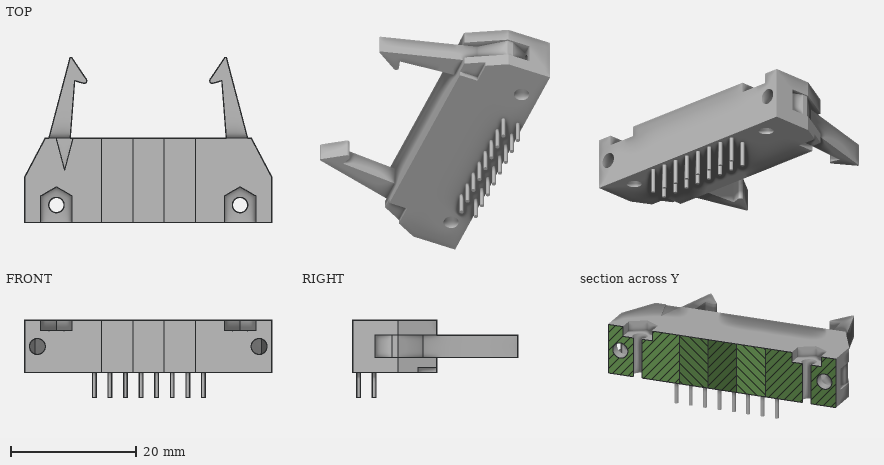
import cadquery as cq
import math

overall_length = 39.5
housing_depth = 13.45
housing_height = 8.37
overall_depth = 26.4

module_count = 3
module_width = 4.98
left_end_width = 12.32
right_end_width = overall_length - left_end_width - module_count * module_width

pin_diameter = 0.65
pin_length = 4.0
columns_per_module = 2
pin_pitch = module_width / columns_per_module
first_pin_offset = 1.3
front_row_y = 0.95
pin_rows = (front_row_y, front_row_y + pin_pitch)

corner_width = 3.28
corner_depth = 6.25

screw_diameter = 2.4
screw_x = 5.1
screw_y = 2.8
nut_width = 5.0
nut_pocket_depth = 1.65

access_diameter = 2.53
access_x = 2.05

latch_thickness = 3.6
slot_front_y = 3.6
latch_root_inner = (7.3, housing_depth)
latch_tip_outer = (7.25, overall_depth)
latch_tip_inner = (7.5, overall_depth)
barb_point = (10.55, 21.9)
barb_root = (8.0, 22.65)
barb_radius = 0.45
latch_bend = (3.28, 11.2)
latch_heel_rear = (0.25, 7.23)
latch_heel_front = (0.25, 6.32)
latch_toe = (1.7, slot_front_y)
latch_slope = (latch_tip_outer[0] - latch_bend[0]) / (latch_tip_outer[1] - latch_bend[1])
latch_root = (latch_bend[0] + latch_slope * (housing_depth - latch_bend[1]), housing_depth)

notch_reach = screw_x
notch_depth = 3.05
notch_height = 0.85

mark_x = 6.4
mark_width = 2.7
mark_length = 5.1
mark_depth = 0.1

mid_z = housing_height / 2
left_x = -overall_length / 2


def prism(points, bottom, height):
    """Upright prism over a closed outline in the XY plane."""
    return cq.Workplane("XY").workplane(offset=bottom).polyline(points).close().extrude(height)


def pin_column(x):
    """One pin in each row, hanging below the housing."""
    places = [(x, y) for y in pin_rows]
    return cq.Workplane("XY").pushPoints(places).circle(pin_diameter / 2).extrude(-pin_length)


def nut_pocket():
    """Hexagon with one corner to the rear, carried straight out through the front face."""
    across_corners = nut_width / math.cos(math.pi / 6)
    bottom = housing_height - nut_pocket_depth
    hexagon = (
        cq.Workplane("XY", origin=(screw_x, screw_y, bottom))
        .transformed(rotate=(0, 0, 90))
        .polygon(6, across_corners)
        .extrude(nut_pocket_depth)
    )
    mouth = cq.Workplane("XY").box(nut_width, screw_y, nut_pocket_depth, centered=(True, False, False))
    return hexagon.union(mouth.translate((screw_x, 0, bottom)))


def latch_clearance():
    """Open part of the latch slot, between the latch's outer side and the end of the housing."""
    outline = [
        (0, slot_front_y),
        latch_toe,
        latch_heel_front,
        latch_heel_rear,
        latch_bend,
        latch_root,
        (0, housing_depth),
    ]
    return prism(outline, mid_z - latch_thickness / 2, latch_thickness)


def latch_arm():
    """Hooked arm behind the housing, with a rounded barb."""
    outline = [latch_root, latch_tip_outer, latch_tip_inner, barb_point, barb_root, latch_root_inner]
    arm = prism(outline, mid_z - latch_thickness / 2, latch_thickness)
    barb_edge = cq.selectors.NearestToPointSelector((*barb_point, mid_z))
    return arm.edges(barb_edge).fillet(barb_radius)


def end_body(width):
    """End of the housing with its latch and one column of pins; the free end is at X = 0."""
    outline = [
        (0, 0),
        (width, 0),
        (width, housing_depth),
        (corner_width, housing_depth),
        (0, housing_depth - corner_depth),
    ]
    screw_hole = cq.Workplane("XY").center(screw_x, screw_y).circle(screw_diameter / 2).extrude(housing_height)
    access_hole = cq.Workplane("XZ").center(access_x, mid_z).circle(access_diameter / 2).extrude(-slot_front_y)
    notch = cq.Workplane("XY").box(notch_reach, notch_depth, notch_height, centered=False)
    notch = notch.translate((0, housing_depth - notch_depth, 0))
    return (
        prism(outline, 0, housing_height)
        .cut(latch_clearance())
        .cut(screw_hole)
        .cut(nut_pocket())
        .cut(access_hole)
        .cut(notch)
        .union(latch_arm())
    )


def pin_one_mark():
    """Triangle on the top face, pointing forward from the rear edge."""
    outline = [
        (mark_x - mark_width / 2, housing_depth),
        (mark_x + mark_width / 2, housing_depth),
        (mark_x, housing_depth - mark_length),
    ]
    return prism(outline, housing_height - mark_depth, mark_depth)


def middle_module():
    """Plain block with its columns of pins; its left side is at X = 0."""
    block = cq.Workplane("XY").box(module_width, housing_depth, housing_height, centered=False)
    for column in range(columns_per_module):
        block = block.union(pin_column(first_pin_offset + column * pin_pitch))
    return block


last_left_pin_x = left_end_width + first_pin_offset - pin_pitch
left_end = end_body(left_end_width).cut(pin_one_mark()).union(pin_column(last_left_pin_x))
left_end = left_end.translate((left_x, 0, 0))

right_end = end_body(right_end_width).union(pin_column(right_end_width - first_pin_offset))
right_end = right_end.mirror("YZ").translate((-left_x, 0, 0))

modules = []
for index in range(module_count):
    module_x = left_x + left_end_width + index * module_width
    modules.append(middle_module().translate((module_x, 0, 0)))

result = cq.Compound.makeCompound(
    [left_end.val(), *[module.val() for module in modules], right_end.val()]
)